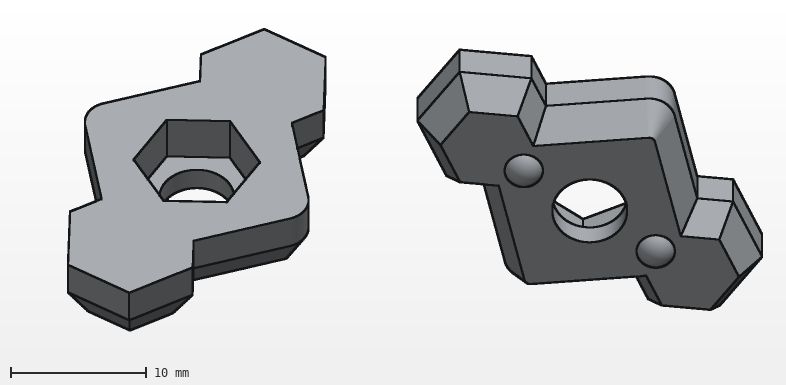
import cadquery as cq
import math

length = 27.55
width = 18.69
rim_height = 3.0
taper_height = 3.0
taper_inset = 1.5
corner_radius = 1.93
side_normal_angle = 41.0
hole_diameter = 5.5
pocket_flats = 8.05
pocket_depth = 4.0
nub_diameter = 3.0
nub_offset = 6.0
nub_height = 1.0

hex_flats = length / 3
body_height = rim_height + taper_height


def make_hexagon(across_flats, point_angle, base_z):
    """Closed hexagon centred on the Z axis, with a point at the given angle from X."""
    across_points = across_flats / math.cos(math.radians(30))
    return (
        cq.Workplane("XY")
        .workplane(offset=base_z)
        .transformed(rotate=(0, 0, point_angle))
        .polygon(6, across_points)
    )


def make_diamond():
    """Diamond with rounded side corners; its Y points are buried in the end hexagons."""
    slope = math.radians(side_normal_angle)
    tip_x = width / 2
    corner_centre_x = tip_x - corner_radius
    arc_end_x = corner_centre_x + corner_radius * math.cos(slope)
    arc_end_y = corner_radius * math.sin(slope)
    point_y = arc_end_y + arc_end_x / math.tan(slope)
    return (
        cq.Workplane("XY")
        .workplane(offset=taper_height)
        .moveTo(0, point_y)
        .lineTo(arc_end_x, arc_end_y)
        .threePointArc((tip_x, 0), (arc_end_x, -arc_end_y))
        .lineTo(0, -point_y)
        .lineTo(-arc_end_x, -arc_end_y)
        .threePointArc((-tip_x, 0), (-arc_end_x, arc_end_y))
        .close()
    )


def make_block(make_profile):
    """Straight upper band above a band tapering inward to the underside."""
    taper_angle = math.degrees(math.atan(taper_inset / taper_height))
    rim = make_profile().extrude(rim_height)
    base = make_profile().extrude(-taper_height, taper=taper_angle)
    return rim.union(base)


def make_body():
    """Central diamond joined to a hexagon at each end."""
    body = make_block(make_diamond)
    end_hexagon = make_block(lambda: make_hexagon(hex_flats, 0, taper_height))
    for end_y in (-hex_flats, hex_flats):
        body = body.union(end_hexagon.translate((0, end_y, 0)))
    return body.clean()


def make_nub(y):
    """Ball partly sunk into the underside."""
    centre_z = nub_diameter / 2 - nub_height
    return cq.Workplane("XY").sphere(nub_diameter / 2).translate((0, y, centre_z))


def make_hole():
    return cq.Workplane("XY").circle(hole_diameter / 2).extrude(body_height)


def make_nut_pocket():
    """Hexagonal recess from the top, with points along Y."""
    return make_hexagon(pocket_flats, 90, body_height - pocket_depth).extrude(pocket_depth)


result = make_body()
for nub_y in (-nub_offset, nub_offset):
    result = result.union(make_nub(nub_y))
result = result.cut(make_hole()).cut(make_nut_pocket())